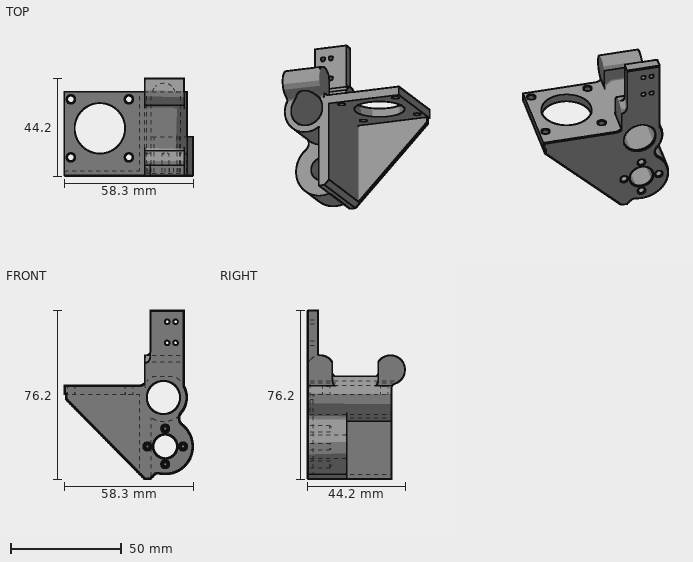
import cadquery as cq
import math


overall_depth = 44.15
body_depth = 38.1
tube_radius = 10.75
lip_diameter = 14.85
lip_depth = 1.2
bore_diameter = 15.3
front_plate_thickness = 2.5
bottom_z = -36.85
front_edge_chamfer = 0.45
inner_corner_fillet = 0.4

plate_left = -44.8
plate_top = 5.45
plate_thickness = 4.0
motor_x = -28.7
motor_y = 21.55
motor_boss_diameter = 22.7
motor_screw_pitch = 26.2
motor_screw_diameter = 3.3
motor_screw_chamfer = 0.35
cove_radius = 3.9

wall_thickness = 5.0
gusset_inset = 0.75
gusset_edge_bottom = -0.9
gusset_foot_x = -8.6

idler_x = 0.8
idler_z = -22.1
idler_radius = 12.67
idler_depth = 17.8
idler_bore_diameter = 10.5
idler_bore_chamfer = 0.4
idler_neck_fillet = 3.5
idler_foot_fillet = 2.0
idler_screw_circle_radius = 8.05
idler_screw_diameter = 3.0
idler_screw_chamfer = 0.4
idler_screw_depth = 10.0
idler_screw_tip_diameter = 1.8

knob_left = -8.5
knob_right = 9.4
knob_radius = 6.6
knob_axis_z = 12.5
knob_flat_offset = 5.55
rear_knob_y = overall_depth - knob_radius
front_knob_y = 5.8
rear_knob_fillet = 2.0
knob_edge_fillet = 0.4
saddle_z = 9.6
saddle_fillet = 1.4
saddle_edge_fillet = 0.45

arm_left = -5.85
arm_thickness = 4.9
arm_top = 39.39
arm_knob_fillet = 2.1
arm_back_fillet = 0.5
arm_hole_diameter = 2.0
arm_hole_columns = (1.7, 5.5)
arm_hole_rows = (24.65, 34.2)

plate_bottom = plate_top - plate_thickness
wall_left = -10.8
wall_right = wall_left + wall_thickness
gusset_left = plate_left + gusset_inset
slope = (bottom_z - gusset_edge_bottom) / (gusset_foot_x - gusset_left)
wall_edge_bottom = gusset_edge_bottom + slope * (wall_left - gusset_left)


def box(x_range, y_range, z_range):
    """Axis-aligned box from its limits."""
    size = [high - low for low, high in (x_range, y_range, z_range)]
    corner = (x_range[0], y_range[0], z_range[0])
    return cq.Workplane("XY").box(*size, centered=False).translate(corner)


def prism(points, depth):
    """Polygon in X and Z, extruded back from the front face."""
    return cq.Workplane("XZ").polyline(points).close().extrude(-depth)


def rod(x, z, radius, depth):
    """Cylinder along Y, starting at the front face."""
    return cq.Workplane("XZ").center(x, z).circle(radius).extrude(-depth)


def near(x_range, y_range, z_range):
    """Selector for edges whose centres lie in a box."""
    lows, highs = zip(x_range, y_range, z_range)
    return cq.selectors.BoxSelector(lows, highs)


def motor_bracket():
    """Motor plate, upright wall and gusset, with small fillets in the inner corners."""
    plate = box((plate_left, 0), (0, body_depth), (plate_bottom, plate_top))
    wall = prism(
        [
            (wall_left, plate_top),
            (wall_left, wall_edge_bottom),
            (gusset_foot_x, bottom_z),
            (wall_right, bottom_z),
            (wall_right, plate_top),
        ],
        body_depth,
    )
    gusset = prism(
        [
            (gusset_left, plate_top),
            (gusset_left, gusset_edge_bottom),
            (gusset_foot_x, bottom_z),
            (wall_right, bottom_z),
            (wall_right, plate_top),
        ],
        front_plate_thickness,
    )
    bracket = plate.union(wall).union(gusset)
    middle = body_depth / 2
    margin = 0.1
    corner_lines = [
        near(
            (wall_left - margin, wall_left + margin),
            (middle - 3, middle + 3),
            (plate_bottom - margin, plate_bottom + margin),
        ),
        near(
            (wall_left - margin, wall_left + margin),
            (front_plate_thickness - margin, front_plate_thickness + margin),
            (bottom_z, plate_bottom - margin),
        ),
    ]
    return bracket.edges(corner_lines[0] + corner_lines[1]).fillet(inner_corner_fillet)


def tube_cove():
    """Concave blend from the motor plate up to the tube."""
    centre_z = plate_top + cove_radius
    centre_x = -math.sqrt((tube_radius + cove_radius) ** 2 - centre_z**2)
    fill = prism(
        [(0, plate_bottom), (centre_x, plate_bottom), (centre_x, centre_z), (0, 0)], body_depth
    )
    return fill.cut(rod(centre_x, centre_z, cove_radius, body_depth))


def idler_boss():
    """Round boss with blends to the tube above and to the wall foot."""
    foot = prism(
        [
            (gusset_foot_x, bottom_z),
            (wall_right, bottom_z),
            (idler_x, bottom_z + idler_x - wall_right),
            (wall_left, idler_z),
            (wall_left, wall_edge_bottom),
        ],
        idler_depth,
    )
    lobe = rod(idler_x, idler_z, idler_radius, idler_depth)
    lobe = lobe.intersect(
        box((wall_left, idler_x + idler_radius), (0, idler_depth), (bottom_z, 0))
    )
    boss = lobe.union(foot)
    foot_corner = near((wall_right + 0.5, 0), (1, idler_depth - 1), (bottom_z + 0.5, -33))
    boss = boss.edges(foot_corner).edges("|Y").fillet(idler_foot_fillet)

    gap = math.hypot(idler_x, idler_z)
    tube_side = tube_radius + idler_neck_fillet
    idler_side = idler_radius + idler_neck_fillet
    along = (gap**2 + tube_side**2 - idler_side**2) / (2 * gap)
    across = math.sqrt(tube_side**2 - along**2)
    blend_x = (along * idler_x - across * idler_z) / gap
    blend_z = (along * idler_z + across * idler_x) / gap
    neck = prism(
        [
            (0, 0),
            (wall_right, 0),
            (wall_right, idler_z),
            (idler_x, idler_z),
            (blend_x, blend_z),
        ],
        idler_depth,
    )
    neck = neck.cut(rod(blend_x, blend_z, idler_neck_fillet, idler_depth))
    return boss.union(neck)


def knob(centre_y, flat_side):
    """Rounded clamp bar along X; flat_side is the Y direction of its flat face."""
    width = knob_right - knob_left
    bar = cq.Workplane("YZ", origin=(knob_left, 0, 0)).center(centre_y, knob_axis_z)
    bar = bar.circle(knob_radius).extrude(width)
    stem_base = 4.0
    flat_y = centre_y + flat_side * knob_flat_offset
    back_y = min(max(centre_y - flat_side * knob_radius, 0), body_depth)
    y_range = sorted((flat_y, back_y))
    stem = box((knob_left, knob_right), y_range, (stem_base, knob_axis_z))
    bar = bar.union(stem)
    reach = 2 * knob_radius
    beyond = sorted((flat_y, flat_y + flat_side * reach))
    bar = bar.cut(box((knob_left, knob_right), beyond, (0, knob_axis_z + reach)))
    return bar.cut(box((knob_left, knob_right), (-reach, 0), (0, knob_axis_z + reach)))


def knob_blend(knob_y, wall_y, radius, up, x_range):
    """Concave blend between a knob and the wall face at wall_y; up is +1 above the knob, -1 below."""
    blend_y = wall_y + radius
    rise = math.sqrt((knob_radius + radius) ** 2 - (blend_y - knob_y) ** 2)
    blend_z = knob_axis_z + up * rise
    width = x_range[1] - x_range[0]
    plane = cq.Workplane("YZ", origin=(x_range[0], 0, 0))
    fill = plane.polyline(
        [
            (blend_y, blend_z),
            (knob_y, knob_axis_z),
            (wall_y - radius, knob_axis_z),
            (wall_y - radius, blend_z),
        ]
    )
    fill = fill.close().extrude(width)
    return fill.cut(plane.center(blend_y, blend_z).circle(radius).extrude(width))


def soften_saddle(body):
    """Round the saddle's long edges, then blend the saddle into both knob flats."""
    middle = body_depth / 2
    saddle_rim = near(
        (-knob_radius, knob_radius), (middle - 3, middle + 3), (saddle_z - 0.5, saddle_z + 0.1)
    )
    body = body.edges(saddle_rim).fillet(saddle_edge_fillet)
    for flat_y in (front_knob_y + knob_flat_offset, rear_knob_y - knob_flat_offset):
        foot_of_flat = near(
            (-tube_radius, tube_radius), (flat_y - 0.05, flat_y + 0.05), (0, saddle_z + 0.1)
        )
        body = body.edges(foot_of_flat).fillet(saddle_fillet)
    return body


def soften_knob_ends(body):
    """Round the left end edges of both knobs."""
    end_plane = (knob_left - 0.05, knob_left + 0.05)
    for centre_y in (front_knob_y, rear_knob_y):
        y_range = (centre_y - knob_radius, centre_y + knob_radius)
        rim = near(end_plane, y_range, (knob_axis_z, knob_axis_z + knob_radius))
        body = body.edges(rim).fillet(knob_edge_fillet)
    return body


def upper_body():
    """Tube with its saddle flat, clamp knobs and arm."""
    tube = rod(0, 0, tube_radius, body_depth)
    tube = tube.cut(
        box((-tube_radius, tube_radius), (0, body_depth), (saddle_z, tube_radius))
    )
    body = tube.union(knob(front_knob_y, 1)).union(knob(rear_knob_y, -1))
    rear_blend = knob_blend(rear_knob_y, body_depth, rear_knob_fillet, -1, (knob_left, knob_right))
    body = soften_knob_ends(soften_saddle(body.union(rear_blend)))

    arm_sides = (arm_left, knob_right)
    body = body.union(box(arm_sides, (0, arm_thickness), (0, arm_top)))
    arm_corner = near(
        (arm_left - 0.05, arm_left + 0.05),
        (0.05, arm_thickness - 0.05),
        (knob_axis_z, knob_axis_z + knob_radius),
    )
    body = body.edges(arm_corner).fillet(arm_knob_fillet)
    return body.union(knob_blend(front_knob_y, arm_thickness, arm_back_fillet, 1, arm_sides))


def chamfer_front_outline(part):
    """Chamfer the front face outline, except up the left side of the knob and arm."""
    outline = part.faces("<Y").val().outerWire().Edges()
    kept_sharp = near((knob_left - 0.1, arm_left + 0.1), (-1, 1), (plate_top + cove_radius, arm_top))
    sharp_edges = kept_sharp.filter(outline)
    edges = [edge for edge in outline if edge not in sharp_edges]
    return part.newObject(edges).chamfer(front_edge_chamfer)


def cone(x, z, front_y, front_diameter, back_diameter, depth):
    """Cone frustum along Y."""
    solid = cq.Solid.makeCone(
        front_diameter / 2, back_diameter / 2, depth, cq.Vector(x, front_y, z), cq.Vector(0, 1, 0)
    )
    return cq.Workplane(solid)


def bearing_bore():
    """Through bore with a slightly narrower lip at the front."""
    lip = rod(0, 0, lip_diameter / 2, lip_depth)
    seat = rod(0, 0, bore_diameter / 2, overall_depth - lip_depth)
    return lip.union(seat.translate((0, lip_depth, 0)))


def idler_holes():
    """Chamfered centre bore and four blind screw holes around it."""
    bore = rod(idler_x, idler_z, idler_bore_diameter / 2, body_depth)
    mouth = idler_bore_diameter + 2 * idler_bore_chamfer
    holes = bore.union(cone(idler_x, idler_z, 0, mouth, idler_bore_diameter, idler_bore_chamfer))
    screw_mouth = idler_screw_diameter + 2 * idler_screw_chamfer
    tip_depth = (idler_screw_diameter - idler_screw_tip_diameter) / 2
    for quarter in range(4):
        angle = quarter * math.pi / 2
        x = idler_x + idler_screw_circle_radius * math.cos(angle)
        z = idler_z + idler_screw_circle_radius * math.sin(angle)
        holes = holes.union(rod(x, z, idler_screw_diameter / 2, idler_screw_depth))
        holes = holes.union(cone(x, z, 0, screw_mouth, idler_screw_diameter, idler_screw_chamfer))
        tip = cone(x, z, idler_screw_depth, idler_screw_diameter, idler_screw_tip_diameter, tip_depth)
        holes = holes.union(tip)
    return holes


def arm_holes():
    """Two by two grid of small through holes in the arm."""
    centres = [(x, z) for x in arm_hole_columns for z in arm_hole_rows]
    holes = cq.Workplane("XZ").pushPoints(centres)
    return holes.circle(arm_hole_diameter / 2).extrude(-arm_thickness)


def drill_motor_plate(part):
    """Cut the motor boss opening and its four chamfered screw holes."""
    plane = cq.Workplane("XY", origin=(motor_x, motor_y, plate_top))
    opening = plane.circle(motor_boss_diameter / 2).extrude(-plate_thickness)
    corners = plane.rect(motor_screw_pitch, motor_screw_pitch, forConstruction=True).vertices()
    shanks = corners.circle(motor_screw_diameter / 2).extrude(-plate_thickness)
    part = part.cut(opening).cut(shanks)
    half_width = motor_screw_pitch / 2 + motor_screw_diameter
    rims = near(
        (motor_x - half_width, motor_x + half_width),
        (motor_y - half_width, motor_y + half_width),
        (plate_top - 0.05, plate_top + 0.05),
    )
    screw_rims = part.edges(rims).edges("%CIRCLE").edges(cq.selectors.RadiusNthSelector(0))
    return screw_rims.chamfer(motor_screw_chamfer)


body = motor_bracket().union(idler_boss()).union(upper_body()).union(tube_cove())
body = chamfer_front_outline(body)
body = body.cut(bearing_bore()).cut(idler_holes()).cut(arm_holes())
result = drill_motor_plate(body)